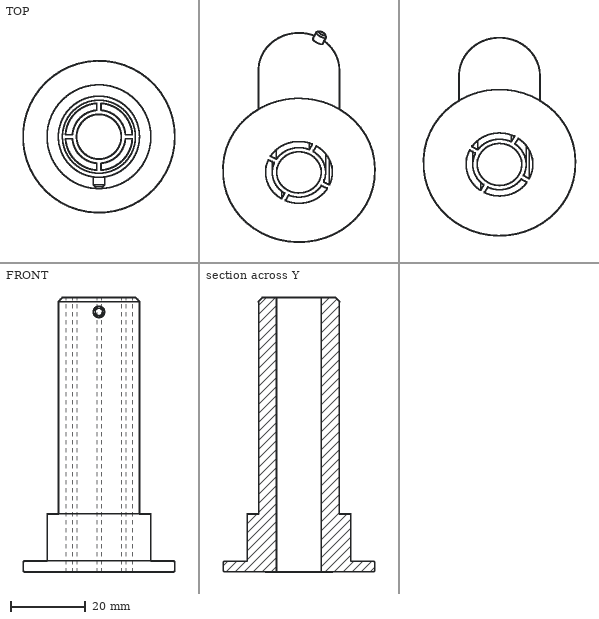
import cadquery as cq

total_height = 74.0
flange_diameter = 41.0
flange_thickness = 3.0
flange_edge_radius = 0.5
collar_diameter = 28.0
collar_top = 15.7
tube_diameter = 21.9
tube_top_chamfer = 1.1

bore_diameter = 12.0
sleeve_diameter = 14.4
cavity_diameter = 18.0
rib_thickness = 1.2

pin_diameter = 3.05
pin_protrusion = 2.5
pin_depth_below_top = 3.9
pin_tip_chamfer = 0.5


def cylinder(diameter, height):
    """Vertical cylinder standing on Z = 0."""
    return cq.Workplane("XY").circle(diameter / 2).extrude(height)


def stepped_body():
    """Flange, collar and tube on one axis."""
    flange = cylinder(flange_diameter, flange_thickness).edges().fillet(flange_edge_radius)
    collar = cylinder(collar_diameter, collar_top)
    tube = cylinder(tube_diameter, total_height).faces(">Z").edges().chamfer(tube_top_chamfer)
    return flange.union(collar).union(tube)


def cavity_segments():
    """Four ring segments between sleeve and tube wall, parted by crossed ribs."""
    segments = cylinder(cavity_diameter, total_height).cut(cylinder(sleeve_diameter, total_height))
    for rib_angle in (0, 90):
        rib = (
            cq.Workplane("XY")
            .rect(tube_diameter, rib_thickness)
            .extrude(total_height)
            .rotate((0, 0, 0), (0, 0, 1), rib_angle)
        )
        segments = segments.cut(rib)
    return segments


def locking_pin():
    """Pin with a chamfered tip, rooted in the tube wall."""
    root_radius = cavity_diameter / 2
    pin_length = tube_diameter / 2 + pin_protrusion - root_radius
    return (
        cq.Workplane("XZ", origin=(0, -root_radius, total_height - pin_depth_below_top))
        .circle(pin_diameter / 2)
        .extrude(pin_length)
        .faces("<Y")
        .edges()
        .chamfer(pin_tip_chamfer)
    )


result = (
    stepped_body()
    .union(locking_pin())
    .cut(cavity_segments())
    .cut(cylinder(bore_diameter, total_height))
)